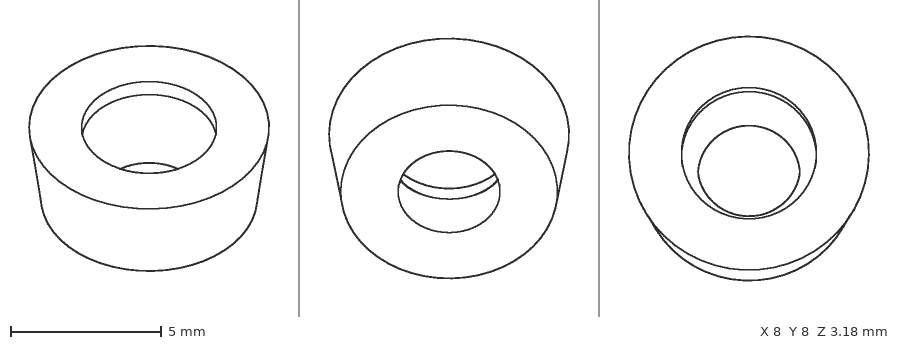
import cadquery as cq
import math

top_radius = 4.0
height = 3.18
relief_angle = 7.0
bottom_radius = top_radius - height * math.tan(math.radians(relief_angle))

mouth_radius = 2.25
mouth_depth = 0.59
throat_radius = 1.7
seat_depth = 1.56

seat_top_z = height - mouth_depth
throat_top_z = seat_top_z - seat_depth

half_section = (
    cq.Workplane("XZ")
    .moveTo(mouth_radius, seat_top_z)
    .lineTo(mouth_radius, height)
    .lineTo(top_radius, height)
    .lineTo(bottom_radius, 0)
    .lineTo(throat_radius, 0)
    .lineTo(throat_radius, throat_top_z)
    .tangentArcPoint((mouth_radius, seat_top_z), relative=False)
    .close()
)

result = half_section.revolve(360, (0, 0, 0), (0, 1, 0))